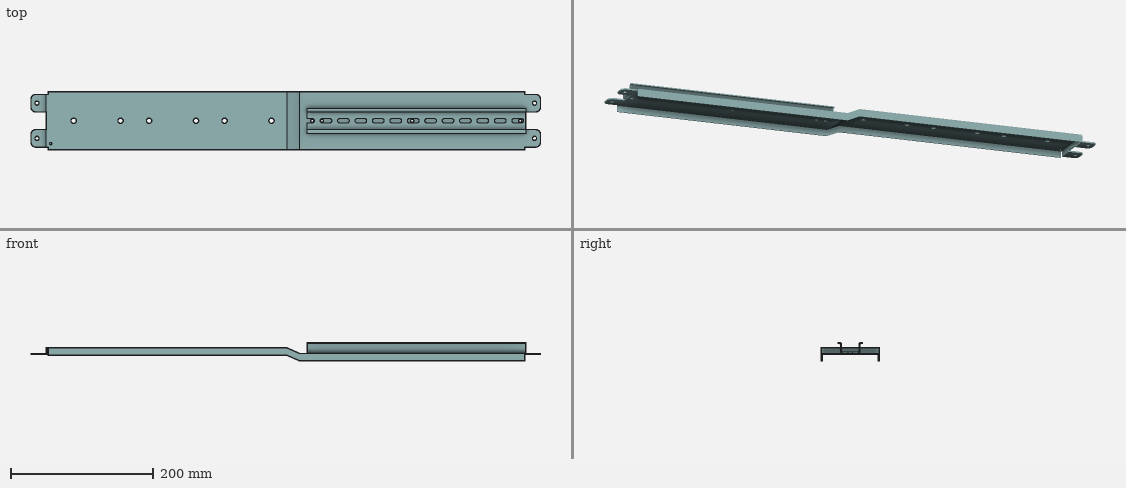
import cadquery as cq

overall_length = 716.0

tray_width = 81.5
sheet = 2.0
flange_depth = 11.0
jog_rise = 8.0
jog_start_x = 1.5
jog_end_x = 19.0
left_end_x = -336.5
right_end_x = 336.0
corner_relief = 3.0
side_start_x = left_end_x + corner_relief

tab_width = 25.0
tab_spacing = 49.5
tab_center_y = tab_spacing / 2
tab_corner_radius = 7.0
tab_hole_diameter = 5.5
tab_hole_inset = 8.5
tab_hole_x = overall_length / 2 - tab_hole_inset
end_flange_width = tab_spacing + tab_width

pair_hole_diameter = 7.0
first_pair_x = -298.0
pair_spacing = 66.0
pair_pitch = 106.0
pair_count = 3
corner_hole_diameter = 3.0
corner_hole_x = -330.0
corner_hole_y = -32.0

rail_hole_diameter = 4.0
rail_hole_places = (37.0, 51.0, 177.5, 329.5)

rail_start_x = 30.0
rail_end_x = 337.0
rail_height = 15.0
rail_lip_width = 35.0
rail_channel_width = 27.0
rail_sheet = 1.5
rail_inner_bend = 1.5
rail_outer_bend = rail_inner_bend + rail_sheet

slot_length = 16.5
slot_width = 6.2
first_full_slot_x = 56.5
last_slot_x = 326.0
full_slot_count = 12
slot_pitch = (last_slot_x - first_full_slot_x) / (full_slot_count - 1)

low_bottom_z = -(flange_depth + rail_height) / 2
low_top_z = low_bottom_z + flange_depth
low_under_z = low_top_z - sheet
high_top_z = low_top_z + jog_rise


def jogged_strip(start_x, depth, width, center_y):
    """Strip that follows the jog of the tray top and reaches `depth` below it."""
    return (
        cq.Workplane("XZ", origin=(0, center_y + width / 2, 0))
        .moveTo(start_x, high_top_z)
        .lineTo(jog_start_x, high_top_z)
        .lineTo(jog_end_x, low_top_z)
        .lineTo(right_end_x, low_top_z)
        .lineTo(right_end_x, low_top_z - depth)
        .lineTo(jog_end_x, low_top_z - depth)
        .lineTo(jog_start_x, high_top_z - depth)
        .lineTo(start_x, high_top_z - depth)
        .close()
        .extrude(width)
    )


def end_flange():
    """Flange folded down across the left end, from the tray top to the level of the tabs."""
    return (
        cq.Workplane("XZ", origin=(0, end_flange_width / 2, 0))
        .moveTo(left_end_x, low_top_z)
        .lineTo(left_end_x, high_top_z)
        .lineTo(side_start_x, high_top_z)
        .lineTo(side_start_x, high_top_z - sheet)
        .lineTo(left_end_x + sheet, high_top_z - sheet)
        .lineTo(left_end_x + sheet, low_top_z)
        .close()
        .extrude(end_flange_width)
    )


def tab(root_x, side, center_y):
    """Tab from `root_x` out to the end of the part on the given side (-1 left, 1 right)."""
    tip_x = side * overall_length / 2
    length = abs(tip_x - root_x)
    outer_edges = "|Z and >X" if side > 0 else "|Z and <X"
    return (
        cq.Workplane("XY", origin=((root_x + tip_x) / 2, center_y, low_under_z))
        .box(length, tab_width, sheet, centered=(True, True, False))
        .edges(outer_edges)
        .fillet(tab_corner_radius)
    )


def through_holes(places, diameter):
    """Vertical cutters through the whole height of the tray."""
    return (
        cq.Workplane("XY", origin=(0, 0, low_bottom_z))
        .pushPoints(places)
        .circle(diameter / 2)
        .extrude(flange_depth + jog_rise)
    )


def make_tray():
    tray = jogged_strip(side_start_x, sheet, tray_width, 0).union(end_flange())

    for side_y in (-1, 1):
        flange_y = side_y * (tray_width - sheet) / 2
        tray = tray.union(jogged_strip(side_start_x, flange_depth, sheet, flange_y))

        tab_y = side_y * tab_center_y
        tray = tray.union(tab(left_end_x + sheet, -1, tab_y))
        tray = tray.union(tab(right_end_x, 1, tab_y))

    tab_places = [(x, y) for x in (-tab_hole_x, tab_hole_x) for y in (-tab_center_y, tab_center_y)]
    tray = tray.cut(through_holes(tab_places, tab_hole_diameter))

    pair_places = [
        (first_pair_x + pair * pair_pitch + offset, 0)
        for pair in range(pair_count)
        for offset in (0, pair_spacing)
    ]
    tray = tray.cut(through_holes(pair_places, pair_hole_diameter))
    tray = tray.cut(through_holes([(corner_hole_x, corner_hole_y)], corner_hole_diameter))

    rail_places = [(x, 0) for x in rail_hole_places]
    return tray.cut(through_holes(rail_places, rail_hole_diameter))


def rail_section():
    """Hat section in YZ: channel walls with lips turned outwards, all bends rounded."""
    lip_y = rail_lip_width / 2
    outer_y = rail_channel_width / 2
    inner_y = outer_y - rail_sheet
    base_z = low_top_z
    floor_z = base_z + rail_sheet
    top_z = base_z + rail_height
    lip_under_z = top_z - rail_sheet

    half = [
        (inner_y, floor_z),
        (inner_y, top_z),
        (lip_y, top_z),
        (lip_y, lip_under_z),
        (outer_y, lip_under_z),
        (outer_y, base_z),
    ]
    other_half = [(-y, z) for y, z in reversed(half)]
    rail = (
        cq.Workplane("YZ", origin=(rail_start_x, 0, 0))
        .polyline(half + other_half)
        .close()
        .extrude(rail_end_x - rail_start_x)
    )

    bends = (
        (inner_y, floor_z, rail_inner_bend),
        (outer_y, base_z, rail_outer_bend),
        (outer_y, lip_under_z, rail_inner_bend),
        (inner_y, top_z, rail_outer_bend),
    )
    middle_x = (rail_start_x + rail_end_x) / 2
    for y, z, radius in bends:
        for side_y in (-1, 1):
            corner = cq.selectors.NearestToPointSelector((middle_x, side_y * y, z))
            rail = rail.edges("|X").edges(corner).fillet(radius)
    return rail


def make_rail():
    slot_places = [(first_full_slot_x + (i - 1) * slot_pitch, 0) for i in range(full_slot_count + 1)]
    slots = (
        cq.Workplane("XY", origin=(0, 0, low_top_z))
        .pushPoints(slot_places)
        .slot2D(slot_length, slot_width)
        .extrude(rail_sheet)
    )
    return rail_section().cut(slots)


tray = make_tray()
rail = make_rail()
result = cq.Compound.makeCompound([tray.solids().val(), rail.solids().val()])